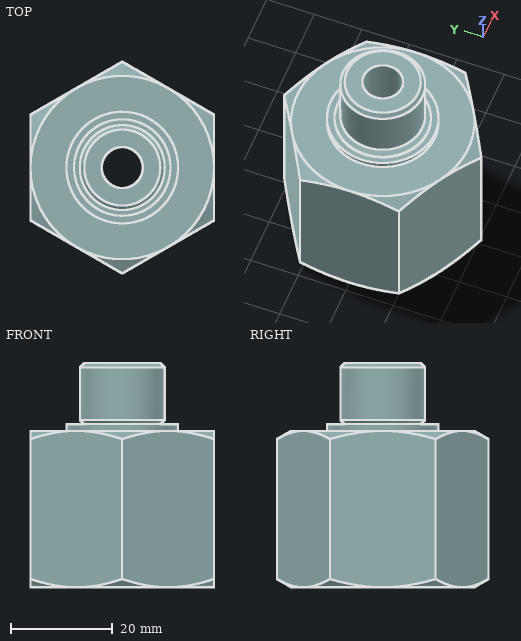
import cadquery as cq
import math

total_height = 44.0
across_flats = 36.0
hex_height = 30.65
across_corners = across_flats / math.cos(math.radians(30))
corner_chamfer_angle = 30.0

collar_diameter = 21.9
collar_height = 1.3
recess_diameter = 18.9
recess_depth = 0.18
recess_floor = hex_height + collar_height - recess_depth

spigot_diameter = 16.68
spigot_root_diameter = 14.7
spigot_tip_diameter = 14.9
spigot_chamfer = (spigot_diameter - spigot_tip_diameter) / 2
root_taper = (spigot_diameter - spigot_root_diameter) / 2
bore_diameter = 8.0


def make_hex_body():
    """Hexagon with corners on Y, both ends chamfered down to the flats."""
    prism = (
        cq.Workplane("XY")
        .polygon(6, across_corners)
        .extrude(hex_height)
        .rotate((0, 0, 0), (0, 0, 1), 90)
    )
    flat_radius = across_flats / 2
    corner_radius = across_corners / 2
    drop = (corner_radius - flat_radius) * math.tan(math.radians(corner_chamfer_angle))
    envelope = (
        cq.Workplane("XZ")
        .polyline([
            (0, 0),
            (flat_radius, 0),
            (corner_radius, drop),
            (corner_radius, hex_height - drop),
            (flat_radius, hex_height),
            (0, hex_height),
        ])
        .close()
        .revolve(360, (0, 0, 0), (0, 1, 0))
    )
    return prism.intersect(envelope)


def make_collar():
    """Disc standing on the hexagon, with a shallow recess in its top."""
    return (
        cq.Workplane("XY", origin=(0, 0, hex_height))
        .circle(collar_diameter / 2)
        .extrude(collar_height)
        .faces(">Z")
        .workplane()
        .circle(recess_diameter / 2)
        .cutBlind(-recess_depth)
    )


def make_spigot():
    """Cylinder on a narrower root, tapered at the root and at the tip."""
    root_radius = spigot_root_diameter / 2
    radius = spigot_diameter / 2
    return (
        cq.Workplane("XZ")
        .polyline([
            (0, hex_height),
            (root_radius, hex_height),
            (root_radius, recess_floor),
            (radius, recess_floor + root_taper),
            (radius, total_height - spigot_chamfer),
            (spigot_tip_diameter / 2, total_height),
            (0, total_height),
        ])
        .close()
        .revolve(360, (0, 0, 0), (0, 1, 0))
    )


bore = cq.Workplane("XY").circle(bore_diameter / 2).extrude(total_height)

result = make_hex_body().union(make_collar()).union(make_spigot()).cut(bore)